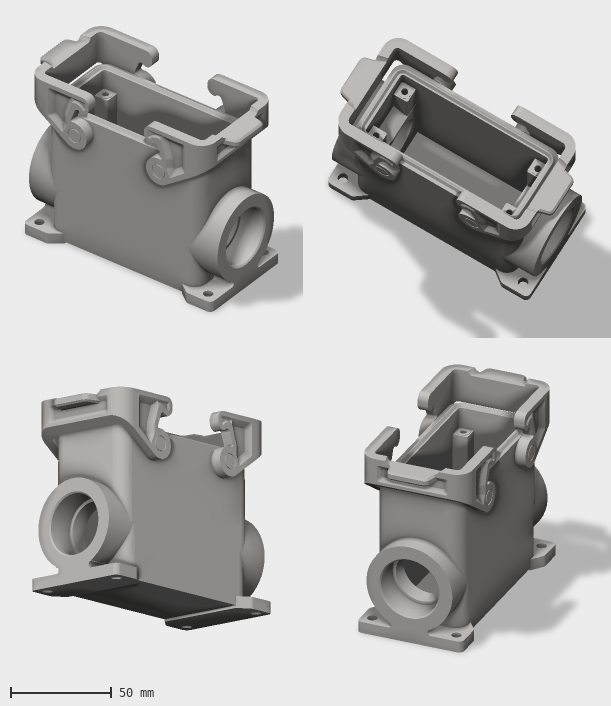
import cadquery as cq
import math

BODY_BOTTOM = 1.4
BODY_TOP = 79.7
BODY_STEP_Z = 30.0
UPPER_BODY_LENGTH = 96.6
LOWER_BODY_LENGTH = 92.9
BODY_WIDTH = 46.9
BODY_CORNER = 7.1
DRAFT_ANGLE = 0.4
LOWER_BODY_WIDTH = BODY_WIDTH + 2 * (BODY_STEP_Z - BODY_BOTTOM) * math.tan(math.radians(DRAFT_ANGLE))

CAVITY_LENGTH = 85.5
CAVITY_WIDTH = 35.2
CAVITY_CORNER = 1.5
CAVITY_FLOOR = 5.0
LOWER_CAVITY_LENGTH = 69.2
FLOOR_LENGTH = 67.5
SLOPE_TOP = 50.8
SLOPE_BOTTOM = 46.5

RIDGE_LENGTH = 93.7
RIDGE_WIDTH = 42.4
RIDGE_HEIGHT = 1.5
RIDGE_BASE = 2.7
RIDGE_SLOPE = 38
RIDGE_CORNER = 5.8

PILLAR_SIZE = 8.0
PILLAR_TOP = 68.5
PILLAR_EDGE_ROUND = 1.0
PILLAR_RING_RADIUS = 3.5
PILLAR_RING_HEIGHT = 0.2
SCREW_HOLE_RADIUS = 1.7
SCREW_HOLE_DEPTH = 17.4

PORT_FACE_X = 58.7
PORT_RADIUS = 23.3
PORT_ROOT_X = 39.3
BORE_RADIUS = 15.6
BORE_CHAMFER = 0.7
BORE_DEPTH = 14.9
SHOULDER_RADIUS = 13.9

FOOT_HEIGHT = 6.1
FOOT_WIDTH = 57.0
FOOT_CORNER = 2.7
FOOT_BEND_X = 43.4
FOOT_INNER_X = 36.6
FOOT_HOLE_X = 52.5
FOOT_HOLE_Y = 22.8
FOOT_HOLE_RADIUS = 2.6
NECK_HALF_WIDTH = 11.4
NECK_ROUND = 1.6

LEVER_TOP = 96.8
LEVER_OUTER_X = 55.2
LEVER_INNER_X = 49.8
LEVER_WIDTH = 58.0
LEVER_INNER_WIDTH = 46.6
LEVER_CORNER = 8.7
LEVER_INNER_CORNER = 2.5
LEVER_HEEL_Z = 82.7
PIVOT_X = 26.2
PIVOT_Z = 72.0
PIVOT_RADIUS = 7.7
PIN_RADIUS = 3.6
PIN_GROOVE_RADIUS = 4.1
PIN_GROOVE_DEPTH = 0.5
PIN_ROOT_Y = 20.5
HOOK_TIP_X = 17.2
HOOK_ROUND = 4.1
THROAT_START = (-27.3, PIVOT_Z + PIVOT_RADIUS)
THROAT_CORNER = (-28.1, 80.1)
THROAT_LOWER_END = (-28.1, 81.1)
THROAT_UPPER_END = (-26.0, 86.5)
HOOK_HOLLOW = (-24.3, 88.3)
HOOK_INFLECTION = (-22.8, 87.8)
HOOK_LOWEST = (-21.1, 87.0)
HOOK_CHIN = (-18.8, 87.9)
HOOK_CHEEK = (-17.6, 89.4)
HOOK_TIP_BOTTOM_Z = 91.3
POCKET_TOP = 94.4
POCKET_BACK_X = -42.5
POCKET_DEPTH = 2.2
POCKET_TAPER = 55
POCKET_CORNER = 2.7
HOOK_POCKET_DEPTH = 0.7
END_POCKET_DEPTH = 1.6
END_POCKET_CORNER = 2.0
END_POCKET_BOTTOM = 84.5
END_POCKET_TOP = 93.4
END_POCKET_WIDTH = 38.5

TAB_TIP_X = 62.0
TAB_TOP = 94.7
TAB_BOTTOM = 90.4
TAB_TIP_WIDTH = 21.6
TAB_ROOT_WIDTH = 26.8
TAB_CORNER = 3.0
TAB_EDGE = 1.0
NOTCH_TOP_WIDTH = 29.3
NOTCH_BOTTOM_WIDTH = 23.8
NOTCH_FLARE = 13


def both_ends(shape):
    """The shape at the -X end together with its mirror image at the +X end."""
    return shape.union(shape.mirror("YZ"))


def block(x_min, x_max, y_min, y_max, z_min, z_max):
    size = (x_max - x_min, y_max - y_min, z_max - z_min)
    return cq.Workplane("XY").box(*size, centered=False).translate((x_min, y_min, z_min))


def x_cylinder(radius, x_min, x_max):
    """Cylinder on the axis of the cable ports."""
    return (
        cq.Workplane("YZ", origin=(x_min, 0, BODY_STEP_Z))
        .circle(radius)
        .extrude(x_max - x_min)
    )


def rounded_plate(length, width, corner, z):
    sketch = cq.Sketch().rect(length, width).vertices().fillet(corner)
    return cq.Workplane("XY", origin=(0, 0, z)).placeSketch(sketch)


def make_body():
    upper = rounded_plate(UPPER_BODY_LENGTH, BODY_WIDTH, BODY_CORNER, BODY_STEP_Z).extrude(
        BODY_TOP - BODY_STEP_Z, taper=DRAFT_ANGLE
    )
    lower = rounded_plate(LOWER_BODY_LENGTH, LOWER_BODY_WIDTH, BODY_CORNER, BODY_BOTTOM).extrude(
        BODY_STEP_Z - BODY_BOTTOM, taper=DRAFT_ANGLE
    )
    return upper.union(lower)


def make_cavity():
    cavity = rounded_plate(CAVITY_LENGTH, CAVITY_WIDTH, CAVITY_CORNER, CAVITY_FLOOR).extrude(
        BODY_TOP - CAVITY_FLOOR
    )
    thick_end_wall = (
        cq.Workplane("XZ")
        .moveTo(-CAVITY_LENGTH / 2, CAVITY_FLOOR)
        .lineTo(-FLOOR_LENGTH / 2, CAVITY_FLOOR)
        .lineTo(-LOWER_CAVITY_LENGTH / 2, SLOPE_BOTTOM)
        .lineTo(-CAVITY_LENGTH / 2, SLOPE_TOP)
        .close()
        .extrude(CAVITY_WIDTH / 2, both=True)
    )
    return cavity.cut(both_ends(thick_end_wall))


def make_ridge():
    """Ridge with rounded corners and sloping sides."""
    outer = rounded_plate(RIDGE_LENGTH, RIDGE_WIDTH, RIDGE_CORNER, BODY_TOP).extrude(
        RIDGE_HEIGHT, taper=RIDGE_SLOPE
    )
    inner = rounded_plate(
        RIDGE_LENGTH - 2 * RIDGE_BASE,
        RIDGE_WIDTH - 2 * RIDGE_BASE,
        RIDGE_CORNER - RIDGE_BASE,
        BODY_TOP,
    ).extrude(RIDGE_HEIGHT, taper=-RIDGE_SLOPE)
    return outer.cut(inner)


def make_pillar(side):
    """Pillar in the -X corner of the cavity on the given Y side (-1 or +1)."""
    x = -CAVITY_LENGTH / 2 + PILLAR_SIZE / 2
    y = side * (CAVITY_WIDTH - PILLAR_SIZE) / 2
    height = PILLAR_TOP - CAVITY_FLOOR
    free_edge = ">X and <Y" if side > 0 else ">X and >Y"
    post = (
        cq.Workplane("XY", origin=(x, y, CAVITY_FLOOR))
        .rect(PILLAR_SIZE, PILLAR_SIZE)
        .extrude(height)
        .edges("|Z")
        .edges(free_edge)
        .fillet(PILLAR_EDGE_ROUND)
    )
    ring = (
        cq.Workplane("XY", origin=(x, y, PILLAR_TOP))
        .circle(PILLAR_RING_RADIUS)
        .extrude(PILLAR_RING_HEIGHT)
    )
    hole = (
        cq.Workplane("XY", origin=(x, y, PILLAR_TOP - SCREW_HOLE_DEPTH))
        .circle(SCREW_HOLE_RADIUS)
        .extrude(SCREW_HOLE_DEPTH + PILLAR_RING_HEIGHT)
    )
    return post.union(ring).cut(hole)


def make_port():
    """Solid port collar at the -X end with the web that joins it to the foot."""
    collar = x_cylinder(PORT_RADIUS, -PORT_FACE_X, -PORT_ROOT_X)
    web = block(
        -PORT_FACE_X, -PORT_ROOT_X, -NECK_HALF_WIDTH, NECK_HALF_WIDTH, FOOT_HEIGHT / 2, BODY_STEP_Z
    )
    for side in (-1, 1):
        groove = (
            cq.Workplane("YZ", origin=(-PORT_FACE_X, side * NECK_HALF_WIDTH, FOOT_HEIGHT + NECK_ROUND))
            .circle(NECK_ROUND)
            .extrude(PORT_FACE_X - PORT_ROOT_X)
        )
        web = web.cut(groove)
    return collar.union(web)


def make_bore():
    """Stepped bore of the -X port, open to the cavity."""
    thread = x_cylinder(BORE_RADIUS, -PORT_FACE_X, -PORT_FACE_X + BORE_DEPTH)
    mouth = cq.Workplane("XY").add(
        cq.Solid.makeCone(
            BORE_RADIUS + BORE_CHAMFER,
            BORE_RADIUS,
            BORE_CHAMFER,
            pnt=cq.Vector(-PORT_FACE_X, 0, BODY_STEP_Z),
            dir=cq.Vector(1, 0, 0),
        )
    )
    return thread.union(mouth).union(x_cylinder(SHOULDER_RADIUS, -PORT_FACE_X, 0))


def make_foot():
    half_width = FOOT_WIDTH / 2
    half_body = BODY_WIDTH / 2
    return (
        cq.Workplane("XY")
        .polyline(
            [
                (-PORT_FACE_X, -half_width),
                (-FOOT_BEND_X, -half_width),
                (-FOOT_INNER_X, -half_body),
                (-FOOT_INNER_X, half_body),
                (-FOOT_BEND_X, half_width),
                (-PORT_FACE_X, half_width),
            ]
        )
        .close()
        .extrude(FOOT_HEIGHT)
        .edges("|Z and <X")
        .fillet(FOOT_CORNER)
        .edges("|Z and (>Y or <Y)")
        .edges(">X")
        .fillet(FOOT_CORNER)
    )


def foot_holes():
    return (
        cq.Workplane("XY")
        .pushPoints([(-FOOT_HOLE_X, -FOOT_HOLE_Y), (-FOOT_HOLE_X, FOOT_HOLE_Y)])
        .circle(FOOT_HOLE_RADIUS)
        .extrude(FOOT_HEIGHT)
    )


def lever_profile():
    """Side outline of the -X lever, a C-shaped arm around the pivot."""
    heel_dx = PIVOT_X - LEVER_OUTER_X
    heel_dz = LEVER_HEEL_Z - PIVOT_Z
    reach = math.hypot(heel_dx, heel_dz)
    angle = math.atan2(heel_dz, heel_dx) + math.acos(PIVOT_RADIUS / reach)
    tangent = (
        -PIVOT_X + PIVOT_RADIUS * math.cos(angle),
        PIVOT_Z + PIVOT_RADIUS * math.sin(angle),
    )
    return (
        cq.Workplane("XZ")
        .moveTo(-LEVER_OUTER_X, LEVER_TOP)
        .lineTo(-LEVER_OUTER_X, LEVER_HEEL_Z)
        .lineTo(*tangent)
        .threePointArc((-PIVOT_X + PIVOT_RADIUS, PIVOT_Z), (-PIVOT_X, PIVOT_Z + PIVOT_RADIUS))
        .lineTo(*THROAT_START)
        .threePointArc(THROAT_CORNER, THROAT_LOWER_END)
        .lineTo(*THROAT_UPPER_END)
        .threePointArc(HOOK_HOLLOW, HOOK_INFLECTION)
        .threePointArc(HOOK_LOWEST, HOOK_CHIN)
        .threePointArc(HOOK_CHEEK, (-HOOK_TIP_X, HOOK_TIP_BOTTOM_Z))
        .lineTo(-HOOK_TIP_X, LEVER_TOP - HOOK_ROUND)
        .radiusArc((-HOOK_TIP_X - HOOK_ROUND, LEVER_TOP), -HOOK_ROUND)
        .close()
    )


def lever_plan():
    """U-shaped plan of the lever: rounded outside, open towards the middle."""
    height = LEVER_TOP
    outer = (
        block(-LEVER_OUTER_X, 0, -LEVER_WIDTH / 2, LEVER_WIDTH / 2, 0, height)
        .edges("|Z and <X")
        .fillet(LEVER_CORNER)
    )
    inner = (
        block(-LEVER_INNER_X, 0, -LEVER_INNER_WIDTH / 2, LEVER_INNER_WIDTH / 2, 0, height)
        .edges("|Z and <X")
        .fillet(LEVER_INNER_CORNER)
    )
    return outer.cut(inner)


def side_pockets():
    """Sloping-walled recess in the arm at the -Y side, with a shallow run into the hook."""
    face = cq.Workplane("XZ", origin=(0, -LEVER_WIDTH / 2, 0))
    main = (
        face.polyline(
            [
                (POCKET_BACK_X, POCKET_TOP),
                (-27.0, POCKET_TOP),
                (-27.5, 91.3),
                (-30.9, 81.1),
                (-31.0, 75.9),
                (-33.4, 70.9),
                (POCKET_BACK_X, 77.6),
            ]
        )
        .close()
        .extrude(-POCKET_DEPTH, taper=POCKET_TAPER)
        .faces("<X")
        .edges("not #Y")
        .fillet(POCKET_CORNER)
    )
    hook = (
        face.moveTo(-28.5, POCKET_TOP)
        .lineTo(-19.5, POCKET_TOP)
        .lineTo(-19.5, 90.0)
        .lineTo(-21.0, 89.4)
        .threePointArc((-23.8, 91.5), (-27.5, 91.3))
        .close()
        .extrude(-HOOK_POCKET_DEPTH, taper=POCKET_TAPER)
    )
    return main.union(hook)


def pin_groove():
    return (
        cq.Workplane("XZ", origin=(-PIVOT_X, -LEVER_WIDTH / 2, PIVOT_Z))
        .circle(PIN_GROOVE_RADIUS)
        .circle(PIN_RADIUS)
        .extrude(-PIN_GROOVE_DEPTH)
    )


def pivot_pin():
    """Pin joining the arm at the -Y side to the housing wall."""
    return (
        cq.Workplane("XZ", origin=(-PIVOT_X, -PIN_ROOT_Y, PIVOT_Z))
        .circle(PIN_RADIUS)
        .extrude(LEVER_WIDTH / 2 - PIN_ROOT_Y - PIN_GROOVE_DEPTH)
    )


def end_pocket():
    """Sloping-walled recess across the back of the lever, behind the tab."""
    middle_z = (END_POCKET_TOP + END_POCKET_BOTTOM) / 2
    return (
        cq.Workplane("YZ", origin=(-LEVER_OUTER_X, 0, middle_z))
        .rect(END_POCKET_WIDTH, END_POCKET_TOP - END_POCKET_BOTTOM)
        .extrude(END_POCKET_DEPTH, taper=POCKET_TAPER)
        .edges("not #X")
        .fillet(END_POCKET_CORNER)
    )


def tab_notch():
    """Dip with hollowed ends in the top edge of the lever's back, widening inward like the tab."""
    top = NOTCH_TOP_WIDTH / 2
    bottom = NOTCH_BOTTOM_WIDTH / 2
    depth = LEVER_TOP - TAB_TOP
    dip = (
        cq.Workplane("YZ", origin=(-LEVER_OUTER_X, 0, 0))
        .moveTo(-top, LEVER_TOP)
        .radiusArc((-bottom, TAB_TOP), -2 * depth)
        .lineTo(bottom, TAB_TOP)
        .radiusArc((top, LEVER_TOP), -2 * depth)
        .close()
        .extrude(LEVER_OUTER_X - LEVER_INNER_X, taper=-NOTCH_FLARE)
    )
    return dip.intersect(
        block(-LEVER_OUTER_X, -LEVER_INNER_X, -LEVER_WIDTH / 2, LEVER_WIDTH / 2, TAB_TOP, LEVER_TOP)
    )


def finger_tab():
    root_x = (LEVER_OUTER_X + LEVER_INNER_X) / 2
    return (
        cq.Workplane("XY", origin=(0, 0, TAB_BOTTOM))
        .polyline(
            [
                (-root_x, -TAB_ROOT_WIDTH / 2),
                (-root_x, TAB_ROOT_WIDTH / 2),
                (-TAB_TIP_X, TAB_TIP_WIDTH / 2),
                (-TAB_TIP_X, -TAB_TIP_WIDTH / 2),
            ]
        )
        .close()
        .extrude(TAB_TOP - TAB_BOTTOM)
        .edges("|Z and <X")
        .fillet(TAB_CORNER)
        .faces("<X")
        .edges(">Z or <Z")
        .chamfer(TAB_EDGE)
    )


def make_lever():
    arms = lever_profile().extrude(LEVER_WIDTH / 2, both=True).intersect(lever_plan())
    for recess in (side_pockets(), pin_groove()):
        arms = arms.cut(recess).cut(recess.mirror("XZ"))
    arms = arms.cut(end_pocket()).cut(tab_notch())
    pin = pivot_pin()
    return arms.union(pin).union(pin.mirror("XZ")).union(finger_tab())


housing = make_body().union(both_ends(make_port())).union(both_ends(make_foot()))
housing = housing.cut(make_cavity())
for pillar_side in (-1, 1):
    housing = housing.union(both_ends(make_pillar(pillar_side)))
housing = housing.cut(both_ends(make_bore())).cut(both_ends(foot_holes()))
housing = housing.union(make_ridge())

result = housing.union(both_ends(make_lever()))